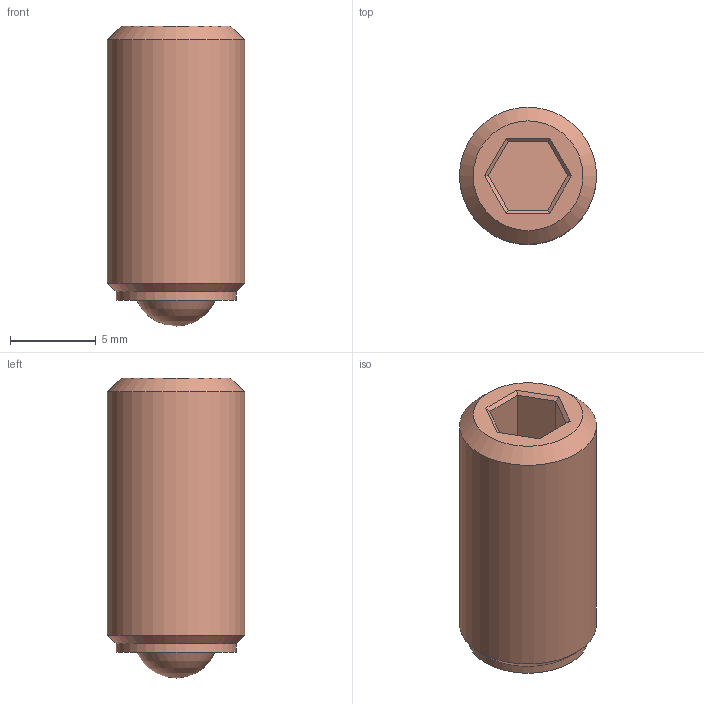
import cadquery as cq
import math

body_diameter = 8.0
rim_diameter = 7.0
body_length = 16.0
rim_height = 0.5
top_chamfer = 0.8
bottom_chamfer = (body_diameter - rim_diameter) / 2
ball_diameter = 5.0
ball_protrusion = 1.5
hex_sides = 6
hex_across_flats = 4.0
hex_depth = 4.0
hex_chamfer = 0.2


def make_body():
    body_radius = body_diameter / 2
    rim_radius = rim_diameter / 2
    return (
        cq.Workplane("XZ")
        .moveTo(0, 0)
        .lineTo(rim_radius, 0)
        .lineTo(rim_radius, rim_height)
        .lineTo(body_radius, rim_height + bottom_chamfer)
        .lineTo(body_radius, body_length - top_chamfer)
        .lineTo(body_radius - top_chamfer, body_length)
        .lineTo(0, body_length)
        .close()
        .revolve(360, (0, 0, 0), (0, 1, 0))
    )


def make_ball():
    ball_radius = ball_diameter / 2
    return cq.Workplane("XY").sphere(ball_radius).translate((0, 0, ball_radius - ball_protrusion))


def across_corners(across_flats):
    return across_flats / math.cos(math.pi / hex_sides)


def make_hex_socket():
    """Hexagonal socket with corners on the X axis and a 45 degree lead-in at its mouth."""
    mouth_across_flats = hex_across_flats + 2 * hex_chamfer
    socket = (
        cq.Workplane("XY", origin=(0, 0, body_length - hex_depth))
        .polygon(hex_sides, across_corners(hex_across_flats))
        .extrude(hex_depth)
    )
    lead_in = (
        cq.Workplane("XY", origin=(0, 0, body_length - hex_chamfer))
        .polygon(hex_sides, across_corners(hex_across_flats))
        .workplane(offset=hex_chamfer)
        .polygon(hex_sides, across_corners(mouth_across_flats))
        .loft(ruled=True)
    )
    return socket.union(lead_in)


result = make_body().union(make_ball()).cut(make_hex_socket())